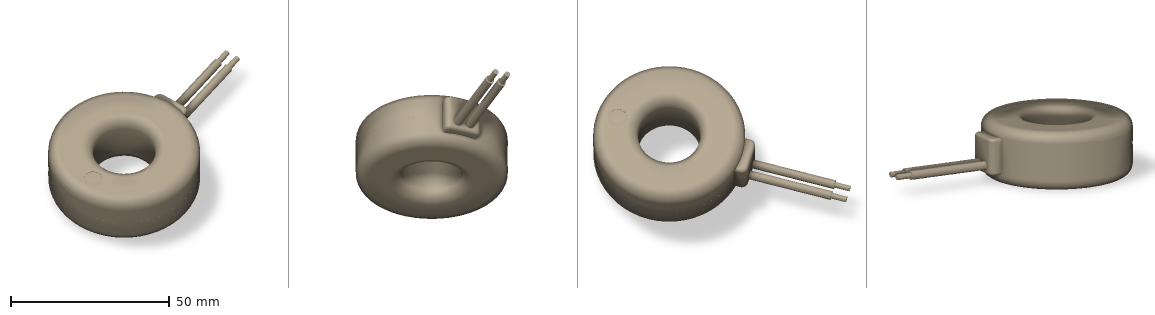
import cadquery as cq

ring_radius = 24.0
ring_height = 19.0
bore_diameter = 19.7
rim_fillet = 3.5

skirt_wall = 2.0

outlet_size = 12.0
outlet_end_y = 27.0
outlet_corner_radius = 2.0
outlet_edge_fillet = 1.0

label_diameter = 6.0
label_depth = 0.2
label_y = -(ring_radius + bore_diameter / 2) / 2

wire_diameter = 2.8
core_diameter = 1.8
wire_spacing = 4.0
wire_z = -3.2
wire_start_y = ring_radius
insulation_end_y = 53.8
wire_tip_y = 58.8
wire_positions = [-wire_spacing / 2, wire_spacing / 2]


def y_cylinder(diameter, x, start_y, end_y):
    """Cylinder along +Y at the height of the wires."""
    return (
        cq.Workplane("XZ", origin=(x, start_y, wire_z))
        .circle(diameter / 2)
        .extrude(start_y - end_y)
    )


def ring_blank():
    """Complete ring with all four rims rounded."""
    ring = (
        cq.Workplane("XY")
        .circle(ring_radius)
        .circle(bore_diameter / 2)
        .extrude(ring_height / 2, both=True)
    )
    return ring.faces("|Z").edges().fillet(rim_fillet)


def outlet_blank():
    """Rounded block reaching out of the ring, hollowed to fit its outer wall."""
    block = (
        cq.Workplane("XY")
        .box(outlet_size, outlet_end_y, outlet_size, centered=(True, False, True))
        .edges("|Z and >Y")
        .fillet(outlet_corner_radius)
    )
    block = block.faces("|Z").edges("not <Y").fillet(outlet_edge_fillet)
    ring_core = cq.Workplane("XY").circle(ring_radius).extrude(outlet_size, both=True)
    return block.cut(ring_core)


def slab(bottom_z, top_z):
    """Horizontal slab that covers the whole housing between two heights."""
    width = 4 * ring_radius
    return cq.Workplane("XY", origin=(0, 0, bottom_z)).rect(width, width).extrude(top_z - bottom_z)


def sleeve_skirt():
    """Inner tube along the bore, between the wire centres and the split plane."""
    return (
        cq.Workplane("XY", origin=(0, 0, wire_z))
        .circle(bore_diameter / 2 + skirt_wall)
        .circle(bore_diameter / 2)
        .extrude(-wire_z)
    )


def with_wire_holes(shell):
    """Shell with its share of the two wire passages removed."""
    for x in wire_positions:
        shell = shell.cut(y_cylinder(wire_diameter, x, wire_start_y, outlet_end_y), clean=False)
    return shell


def make_lower_shell():
    """Lower half of the ring, recessed for the skirt, with the outlet up to the wire centres."""
    half_ring = ring_blank().intersect(slab(-ring_height, 0)).cut(sleeve_skirt())
    sill = outlet_blank().intersect(slab(-ring_height, wire_z))
    return with_wire_holes(half_ring.union(sill))


def make_upper_shell():
    """Upper half of the ring, with a skirt and an outlet tongue down to the wire centres."""
    half_ring = ring_blank().intersect(slab(0, ring_height))
    outlet_top = outlet_blank().intersect(slab(0, ring_height))
    tongue = outlet_blank().intersect(slab(wire_z, 0))
    label_recess = (
        cq.Workplane("XY", origin=(0, label_y, ring_height / 2))
        .circle(label_diameter / 2)
        .extrude(-label_depth)
    )
    shell = half_ring.union(outlet_top).cut(label_recess)
    shell = shell.union(sleeve_skirt(), clean=False).union(tongue, clean=False)
    return with_wire_holes(shell)


def make_wire(x):
    """Insulated wire with a thinner bare end."""
    insulation = y_cylinder(wire_diameter, x, wire_start_y, insulation_end_y)
    bare_end = y_cylinder(core_diameter, x, insulation_end_y, wire_tip_y)
    return insulation.union(bare_end)


lower_shell = make_lower_shell()
upper_shell = make_upper_shell()
wires = [make_wire(x) for x in wire_positions]

result = cq.Compound.makeCompound(
    [body.solids().val() for body in [lower_shell, upper_shell, *wires]]
)